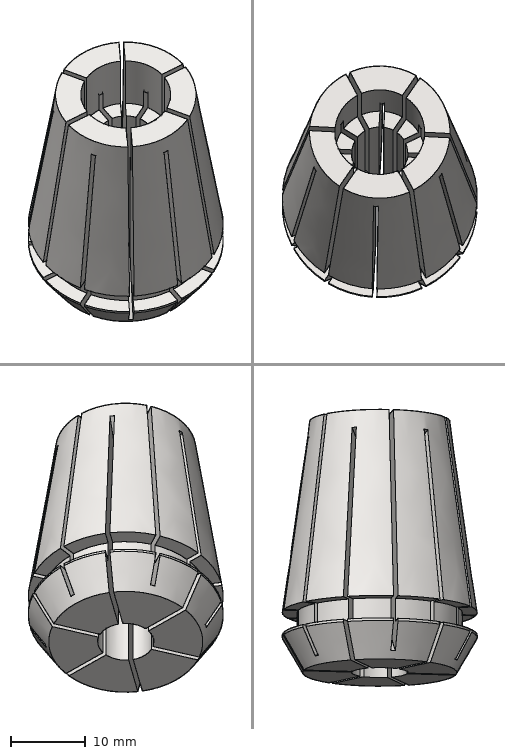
import cadquery as cq
import math

length = 34.0
max_radius = 13.005
taper_angle = 8.0
nose_angle = 30.0
rim_bottom = 4.73
rim_top = 5.05
groove_top = 8.13
groove_radius = 11.0
top_radius = max_radius - (length - groove_top) * math.tan(math.radians(taper_angle))
nose_radius = max_radius - rim_bottom * math.tan(math.radians(nose_angle))

grip_radius = 3.75
clearance_radius = 6.0
step_height = 25.5

slot_count = 6
slot_width = 0.6
saw_radius = 22.6
saw_axis_distance = 22.47
top_saw_height = 20.47
bottom_saw_height = 12.95

overrun = 0.35
cutter_inner = grip_radius - overrun
cutter_outer = max_radius + overrun


def make_body():
    """Revolve the outer cones and groove together with the stepped bore."""
    profile = [
        (grip_radius, 0),
        (nose_radius, 0),
        (max_radius, rim_bottom),
        (max_radius, rim_top),
        (groove_radius, rim_top),
        (groove_radius, groove_top),
        (max_radius, groove_top),
        (top_radius, length),
        (clearance_radius, length),
        (clearance_radius, step_height),
        (grip_radius, step_height),
    ]
    outline = cq.Workplane("XZ").polyline(profile).close()
    return outline.revolve(360, (0, 0, 0), (0, 1, 0))


def saw_arc_point(radius, saw_height, side):
    """Point on the saw's edge above (side = 1) or below (side = -1) its axis."""
    rise = math.sqrt(saw_radius**2 - (saw_axis_distance - radius) ** 2)
    return (radius, saw_height + side * rise)


def make_slot(saw_height, side, open_height):
    """Slot along +X from its open end to the arc left by the saw."""
    start, middle, end = (
        saw_arc_point(radius, saw_height, side)
        for radius in (cutter_inner, (cutter_inner + cutter_outer) / 2, cutter_outer)
    )
    return (
        cq.Workplane("XZ")
        .moveTo(*start)
        .threePointArc(middle, end)
        .lineTo(cutter_outer, open_height)
        .lineTo(cutter_inner, open_height)
        .close()
        .extrude(slot_width / 2, both=True)
    )


top_slot = make_slot(top_saw_height, -1, length + overrun)
bottom_slot = make_slot(bottom_saw_height, 1, -overrun)

pitch = 360 / slot_count
result = make_body()
for index in range(slot_count):
    angle = index * pitch
    result = result.cut(top_slot.rotate((0, 0, 0), (0, 0, 1), angle))
    result = result.cut(bottom_slot.rotate((0, 0, 0), (0, 0, 1), angle + pitch / 2))